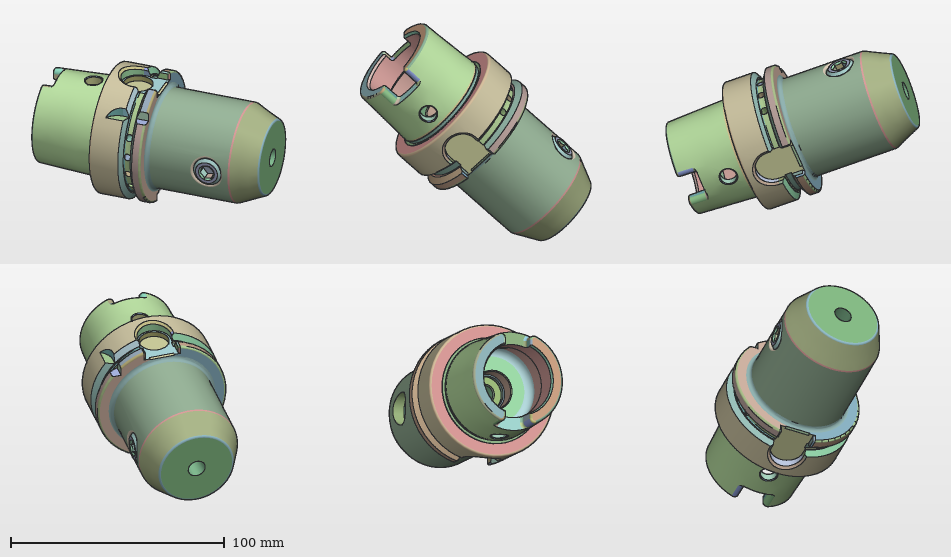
import cadquery as cq
import math

TOLERANCE = 0.01

LENGTH = 112.0
SHANK_TAPER_END = 29.7
FLANGE_FACE = 31.9
GROOVE_LEFT = 46.5
GROOVE_FLOOR_LEFT = 48.0
GROOVE_FLOOR_RIGHT = 51.5
GROOVE_RIGHT = 53.4
FLANGE_BACK = 57.7
NOSE_START = 99.0

SHANK_END_RADIUS = 22.6
SHANK_RADIUS = 24.1
RELIEF_RADIUS = 23.6
RELIEF_START = 30.6
FACE_RECESS_RADIUS = 25.2
FACE_RECESS_DEPTH = 0.5
FLANGE_RADIUS = 31.5
GROOVE_SIDE_RADIUS = 28.5
GROOVE_FLOOR_RADIUS = 27.3
GROOVE_FLOOR_FILLET = 0.6
BODY_RADIUS = 24.1
NOSE_RADIUS = 18.1
FLANGE_RIM_FILLET = 1.0
FLANGE_ROOT_FILLET = 2.0
NOSE_START_FILLET = 2.0
NOSE_END_FILLET = 1.1

BORE_RADIUS = 17.0
BORE_CHAMFER = 0.7
BORE_CHAMFER_LENGTH = 1.3
CLAMP_RADIUS = 19.4
CLAMP_START = 12.9
CLAMP_ANGLE = 60.0
BORE_DEPTH = 30.2
BORE_FLOOR_FILLET = 3.6
TUBE_RADIUS = 9.0
TUBE_CHAMFER = 0.5
TUBE_DEPTH = 7.8
TUBE_SEAT_RADIUS = 8.2
TUBE_SEAT_DEPTH = 2.2
COOLANT_RADIUS = 4.1
COOLANT_CHAMFER = 0.6

DRIVE_HALF_WIDTH = 6.3
DRIVE_DEPTH_TOP = 5.7
DRIVE_DEPTH_BOTTOM = 9.7
DRIVE_EDGE_FILLET = 2.1
DRIVE_FLOOR_FILLET = 1.2
SHANK_END_FILLET = 1.0

SHANK_HOLE_X = 22.8
SHANK_HOLE_RADIUS = 3.9
SHANK_HOLE_CHAMFER = 0.5

KEYWAY_X = 44.9
KEYWAY_WIDTH = 16.0
KEYWAY_RADIUS = KEYWAY_WIDTH / 2
KEYWAY_FLOOR_Z = 26.3
KEYWAY_EDGE_FRONT = 1.2
KEYWAY_EDGE_BACK = 0.9
KEYWAY_LIP_LENGTH = 1.1
KEYWAY_LIP_DROP = 0.5
KEYWAY_LIP_WIDTH = 11.9
CHIP_POCKET_RADIUS = 7.0
CHIP_POCKET_DEPTH = 2.7

NOTCH_Y = -20.2
NOTCH_Z = 19.9
NOTCH_CUTTER_RADIUS = KEYWAY_RADIUS

GROOVE_HOLE_RADIUS = 1.7
GROOVE_HOLE_DEPTH = 13.4
DRILL_POINT_ANGLE = 118.0
GROOVE_HOLE_ANGLES = (25, 5, -15, -35)
BALANCE_HOLE_X = 86.8
BALANCE_HOLE_RADIUS = 7.7
BALANCE_HOLE_DEPTH = 5.6

SCREW_X = 87.9
SCREW_RADIUS = 7.0
SCREW_HEAD_Y = -24.0
SCREW_LENGTH = 15.7
SCREW_CHAMFER = 1.5
SCREW_HOLE_EDGE = 0.95
SOCKET_FLATS = 6.0
SOCKET_DEPTH = 5.0
SOCKET_RIM_RADIUS = 3.9
SOCKET_ANGLE = 10.0


def revolve_about_x(outline):
    """Close a half outline drawn in the XY plane and turn it about the X axis."""
    return outline.close().revolve(360, (0, 0, 0), (1, 0, 0))


def turned_bar():
    """Flange, body and nose as one turned solid, without the shank."""
    outline = (
        cq.Workplane("XY")
        .moveTo(SHANK_TAPER_END, 0)
        .lineTo(SHANK_TAPER_END, SHANK_RADIUS)
        .lineTo(RELIEF_START, SHANK_RADIUS)
        .lineTo(RELIEF_START, RELIEF_RADIUS)
        .lineTo(FLANGE_FACE + FACE_RECESS_DEPTH, RELIEF_RADIUS)
        .lineTo(FLANGE_FACE + FACE_RECESS_DEPTH, FACE_RECESS_RADIUS)
        .lineTo(FLANGE_FACE, FACE_RECESS_RADIUS)
        .lineTo(FLANGE_FACE, FLANGE_RADIUS)
        .lineTo(GROOVE_LEFT, FLANGE_RADIUS)
        .lineTo(GROOVE_FLOOR_LEFT, GROOVE_SIDE_RADIUS)
        .lineTo(GROOVE_FLOOR_LEFT, GROOVE_FLOOR_RADIUS)
        .lineTo(GROOVE_FLOOR_RIGHT, GROOVE_FLOOR_RADIUS)
        .lineTo(GROOVE_FLOOR_RIGHT, GROOVE_SIDE_RADIUS)
        .lineTo(GROOVE_RIGHT, FLANGE_RADIUS)
        .lineTo(FLANGE_BACK, FLANGE_RADIUS)
        .lineTo(FLANGE_BACK, BODY_RADIUS)
        .lineTo(NOSE_START, BODY_RADIUS)
        .lineTo(LENGTH, NOSE_RADIUS)
        .lineTo(LENGTH, 0)
    )
    return round_turned_edges(revolve_about_x(outline))


def round_turned_edges(bar):
    """Fillet the full circles of the turned solid, each found by its station and radius."""
    for station, radius, fillet in (
        (FLANGE_FACE, FLANGE_RADIUS, FLANGE_RIM_FILLET),
        (GROOVE_FLOOR_LEFT, GROOVE_FLOOR_RADIUS, GROOVE_FLOOR_FILLET),
        (FLANGE_BACK, FLANGE_RADIUS, FLANGE_RIM_FILLET),
        (FLANGE_BACK, BODY_RADIUS, FLANGE_ROOT_FILLET),
        (NOSE_START, BODY_RADIUS, NOSE_START_FILLET),
        (LENGTH, NOSE_RADIUS, NOSE_END_FILLET),
    ):
        circles = [
            edge
            for edge in bar.edges("%CIRCLE").vals()
            if math.isclose(edge.Center().x, station, abs_tol=TOLERANCE)
            and math.isclose(edge.radius(), radius, abs_tol=TOLERANCE)
        ]
        bar = bar.newObject(circles).fillet(fillet)
    return bar


def shank():
    """Tapered hollow shank, its open end cut by two drive slots of different depth."""
    taper = (
        cq.Workplane("XY")
        .moveTo(0, BORE_RADIUS)
        .lineTo(0, SHANK_END_RADIUS)
        .lineTo(SHANK_TAPER_END, SHANK_RADIUS)
        .lineTo(SHANK_TAPER_END, BORE_RADIUS)
    )
    tube = revolve_about_x(taper)
    for side, depth in ((1, DRIVE_DEPTH_TOP), (-1, DRIVE_DEPTH_BOTTOM)):
        tube = cut_drive_slot(tube, side, depth)

    rim = [
        edge
        for edge in tube.faces("<X").edges().vals()
        if edge.geomType() != "CIRCLE" or edge.radius() > BORE_RADIUS + TOLERANCE
    ]
    return tube.newObject(rim).fillet(SHANK_END_FILLET)


def cut_drive_slot(tube, side, depth):
    """Cut one drive slot on the +Z (side=1) or -Z (side=-1) half and round its edges."""
    slot = cq.Workplane("XY").box(depth, 2 * DRIVE_HALF_WIDTH, SHANK_RADIUS, centered=(False, True, True))
    tube = tube.cut(slot.translate((0, 0, side * BORE_RADIUS)))

    wall_tops = [
        edge
        for edge in tube.edges().vals()
        if math.isclose(abs(edge.Center().y), DRIVE_HALF_WIDTH, abs_tol=TOLERANCE)
        and side * edge.Center().z > (BORE_RADIUS + SHANK_END_RADIUS) / 2
        and 0 < edge.Center().x < depth - TOLERANCE
    ]
    tube = tube.newObject(wall_tops).fillet(DRIVE_EDGE_FILLET)

    wall_feet = [
        edge
        for edge in tube.edges().vals()
        if edge.BoundingBox().xlen < TOLERANCE
        and math.isclose(edge.Center().x, depth, abs_tol=TOLERANCE)
        and side * edge.Center().z > 0
        and abs(edge.Center().y) > DRIVE_HALF_WIDTH - TOLERANCE
        and math.hypot(edge.Center().y, edge.Center().z) < SHANK_END_RADIUS - TOLERANCE
    ]
    return tube.newObject(wall_feet).fillet(DRIVE_FLOOR_FILLET)


def bore_tool():
    """Tool that removes everything along the axis: clamping bore, tube seat and coolant passage."""
    clamp_full = CLAMP_START + (CLAMP_RADIUS - BORE_RADIUS) / math.tan(math.radians(CLAMP_ANGLE))
    clamp_bore = (
        cq.Workplane("XY")
        .moveTo(0, 0)
        .lineTo(0, BORE_RADIUS + BORE_CHAMFER)
        .lineTo(BORE_CHAMFER_LENGTH, BORE_RADIUS)
        .lineTo(CLAMP_START, BORE_RADIUS)
        .lineTo(clamp_full, CLAMP_RADIUS)
        .lineTo(BORE_DEPTH - BORE_FLOOR_FILLET, CLAMP_RADIUS)
        .radiusArc((BORE_DEPTH, CLAMP_RADIUS - BORE_FLOOR_FILLET), BORE_FLOOR_FILLET)
        .lineTo(BORE_DEPTH, 0)
    )
    seat_start = BORE_DEPTH + TUBE_DEPTH
    seat_end = seat_start + TUBE_SEAT_DEPTH
    passage = (
        cq.Workplane("XY")
        .moveTo(BORE_DEPTH, 0)
        .lineTo(BORE_DEPTH, TUBE_RADIUS + TUBE_CHAMFER)
        .lineTo(BORE_DEPTH + TUBE_CHAMFER, TUBE_RADIUS)
        .lineTo(seat_start, TUBE_RADIUS)
        .lineTo(seat_start, TUBE_SEAT_RADIUS)
        .lineTo(seat_end, TUBE_SEAT_RADIUS)
        .lineTo(seat_end, COOLANT_RADIUS + COOLANT_CHAMFER)
        .lineTo(seat_end + COOLANT_CHAMFER, COOLANT_RADIUS)
        .lineTo(LENGTH, COOLANT_RADIUS)
        .lineTo(LENGTH, 0)
    )
    return revolve_about_x(clamp_bore).union(revolve_about_x(passage))


def cut_shank_holes(body):
    """Drill the shank across the Z axis and break the outer edges of the hole."""
    hole = (
        cq.Workplane("XY")
        .center(SHANK_HOLE_X, 0)
        .circle(SHANK_HOLE_RADIUS)
        .extrude(SHANK_RADIUS, both=True)
    )
    body = body.cut(hole)
    rims = [
        edge
        for edge in body.edges().vals()
        if abs(edge.Center().x - SHANK_HOLE_X) < SHANK_HOLE_RADIUS
        and abs(edge.Center().y) < SHANK_HOLE_RADIUS
        and edge.BoundingBox().ylen > SHANK_HOLE_RADIUS / 2
        and abs(edge.Center().z) > (CLAMP_RADIUS + SHANK_RADIUS) / 2
    ]
    return body.newObject(rims).chamfer(SHANK_HOLE_CHAMFER)


def cut_keyways(body):
    """Cut the round-ended keyways at +Z and -Z of the flange and break their outer edges."""
    height = FLANGE_RADIUS - KEYWAY_FLOOR_Z
    run_out = FLANGE_BACK - KEYWAY_X
    plan = cq.Workplane("XY").workplane(offset=KEYWAY_FLOOR_Z)
    keyway = plan.center(KEYWAY_X, 0).circle(KEYWAY_RADIUS).extrude(height)
    channel = plan.center(KEYWAY_X + run_out / 2, 0).rect(run_out, KEYWAY_WIDTH).extrude(height)
    keyway = keyway.union(channel).union(keyway_lip())
    for cutter in (keyway, keyway.mirror("XY")):
        body = body.cut(cutter)
    body = break_keyway_edges(body, FLANGE_FACE, GROOVE_LEFT, KEYWAY_EDGE_FRONT)
    return break_keyway_edges(body, GROOVE_RIGHT, FLANGE_BACK, KEYWAY_EDGE_BACK)


def keyway_lip():
    """Sloped cut that lowers the middle of the +Z keyway floor towards the back of the flange."""
    return (
        cq.Workplane("XZ", origin=(0, KEYWAY_LIP_WIDTH / 2, 0))
        .moveTo(FLANGE_BACK - KEYWAY_LIP_LENGTH, KEYWAY_FLOOR_Z)
        .lineTo(FLANGE_BACK + KEYWAY_LIP_LENGTH, KEYWAY_FLOOR_Z - 2 * KEYWAY_LIP_DROP)
        .lineTo(FLANGE_BACK + KEYWAY_LIP_LENGTH, KEYWAY_FLOOR_Z)
        .close()
        .extrude(KEYWAY_LIP_WIDTH)
    )


def break_keyway_edges(body, start, end, size):
    """Chamfer the keyway edges on the flange rim between two stations along X."""
    wall_reach = KEYWAY_RADIUS + TOLERANCE
    edges = [
        edge
        for edge in body.edges().vals()
        if start + FLANGE_RIM_FILLET < edge.Center().x < end - TOLERANCE
        and edge.BoundingBox().xlen > TOLERANCE
        and edge.BoundingBox().ymax < wall_reach
        and edge.BoundingBox().ymin > -wall_reach
        and on_flange_rim(edge)
    ]
    return body.newObject(edges).chamfer(size)


def on_flange_rim(edge):
    """True if the ends and the middle of the edge lie on the outer cylinder of the flange."""
    return all(
        math.isclose(math.hypot(point.y, point.z), FLANGE_RADIUS, abs_tol=TOLERANCE)
        for point in (edge.startPoint(), edge.endPoint(), edge.positionAt(0.5))
    )


def chip_pocket():
    """Round blind pocket sunk into the floor of the +Z keyway."""
    return (
        cq.Workplane("XY")
        .workplane(offset=KEYWAY_FLOOR_Z - CHIP_POCKET_DEPTH)
        .center(KEYWAY_X, 0)
        .circle(CHIP_POCKET_RADIUS)
        .extrude(CHIP_POCKET_DEPTH)
    )


def orientation_notch():
    """Corner notch in the flange, milled along Z so that its closed end is round."""
    height = FLANGE_RADIUS - NOTCH_Z
    run_out = FLANGE_BACK - KEYWAY_X
    plan = cq.Workplane("XY").workplane(offset=NOTCH_Z)
    cutter_y = NOTCH_Y - NOTCH_CUTTER_RADIUS
    closed_end = plan.center(KEYWAY_X, cutter_y).circle(NOTCH_CUTTER_RADIUS).extrude(height)
    channel = (
        plan.center(KEYWAY_X + run_out / 2, cutter_y)
        .rect(run_out, 2 * NOTCH_CUTTER_RADIUS)
        .extrude(height)
    )
    return closed_end.union(channel)


def groove_hole(angle):
    """Radial drilled hole in the groove floor, at an angle from -Y towards +Z."""
    middle = (GROOVE_FLOOR_LEFT + GROOVE_FLOOR_RIGHT) / 2
    bottom = GROOVE_FLOOR_RADIUS - GROOVE_HOLE_DEPTH
    point_length = GROOVE_HOLE_RADIUS / math.tan(math.radians(DRILL_POINT_ANGLE / 2))
    drill = (
        cq.Workplane("XY", origin=(middle, 0, 0))
        .moveTo(0, point_length - bottom)
        .lineTo(GROOVE_HOLE_RADIUS, -bottom)
        .lineTo(GROOVE_HOLE_RADIUS, -GROOVE_FLOOR_RADIUS)
        .lineTo(0, -GROOVE_FLOOR_RADIUS)
        .close()
        .revolve(360, (0, 0, 0), (0, 1, 0))
    )
    return drill.rotate((0, 0, 0), (1, 0, 0), -angle)


def balance_hole():
    """Blind hole in the body on the side away from the clamping screw."""
    return (
        cq.Workplane("XZ", origin=(BALANCE_HOLE_X, BODY_RADIUS, 0))
        .circle(BALANCE_HOLE_RADIUS)
        .extrude(BALANCE_HOLE_DEPTH)
    )


def cut_screw_hole(body):
    """Drill the seat of the clamping screw from -Y and break its outer edge."""
    hole = (
        cq.Workplane("XZ", origin=(SCREW_X, SCREW_HEAD_Y + SCREW_LENGTH, 0))
        .circle(SCREW_RADIUS)
        .extrude(SCREW_LENGTH + BODY_RADIUS)
    )
    body = body.cut(hole)
    rim = [
        edge
        for edge in body.edges().vals()
        if abs(edge.Center().x - SCREW_X) < SCREW_RADIUS
        and edge.Center().y < SCREW_HEAD_Y + SCREW_LENGTH / 2
        and edge.BoundingBox().zlen > SCREW_RADIUS / 2
    ]
    return body.newObject(rim).fillet(SCREW_HOLE_EDGE)


def make_holder():
    """Tool holder with hollow taper shank, gripper flange and cylindrical body."""
    body = turned_bar().union(shank()).cut(bore_tool())
    body = cut_keyways(body)
    body = body.cut(chip_pocket()).cut(orientation_notch()).cut(balance_hole())
    for angle in GROOVE_HOLE_ANGLES:
        body = body.cut(groove_hole(angle))
    return cut_screw_hole(cut_shank_holes(body))


def make_screw():
    """Clamping screw with a hexagon socket, its head facing -Y."""
    screw = (
        cq.Workplane("XZ", origin=(SCREW_X, SCREW_HEAD_Y + SCREW_LENGTH, 0))
        .circle(SCREW_RADIUS)
        .extrude(SCREW_LENGTH)
        .faces("<Y")
        .chamfer(SCREW_CHAMFER)
    )
    corner_radius = SOCKET_FLATS / math.sqrt(3)
    socket = (
        cq.Workplane("XZ", origin=(0, SCREW_HEAD_Y + SOCKET_DEPTH, 0))
        .polygon(6, 2 * corner_radius)
        .extrude(SOCKET_DEPTH)
        .rotate((0, 0, 0), (0, 1, 0), -SOCKET_ANGLE)
        .translate((SCREW_X, 0, 0))
    )
    rim = cq.Solid.makeCone(
        SOCKET_RIM_RADIUS,
        0,
        SOCKET_RIM_RADIUS,
        pnt=cq.Vector(SCREW_X, SCREW_HEAD_Y, 0),
        dir=cq.Vector(0, 1, 0),
    )
    return screw.cut(socket).cut(cq.Workplane(rim))


holder = make_holder()
screw = make_screw()

result = cq.Compound.makeCompound([holder.val(), screw.val()])